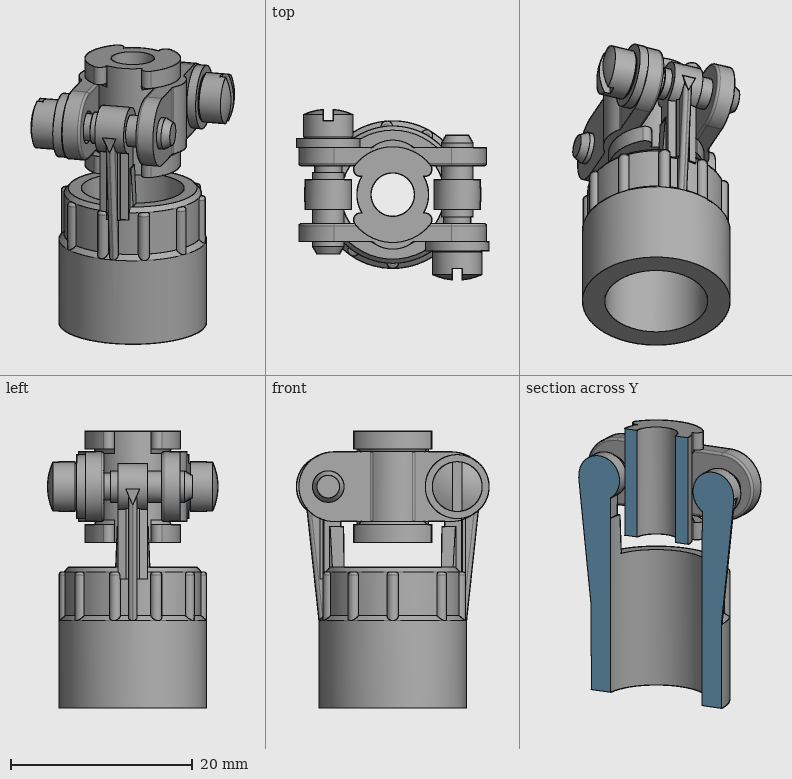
import cadquery as cq
import math

BORE_R = 5.67
SLEEVE_R = 8.15
RIM_R = 7.57
RIM_TOP_R = 7.1
SLEEVE_TOP = 9.65
SHOULDER_TOP = 10.2
RIM_BEVEL_BOTTOM = 15.0
RIM_TOP = 15.53

GRIP_R = 0.65
GRIP_COUNT = 10
GRIP_START = -90
GRIP_STEP = -35
GRIP_ROUND = 0.35

PIVOT_X = 7.1
PIVOT_Z = 24.4
SHANK_R = 1.75
RELIEF_R = 1.5
RELIEF_TOP = 2.45
TIP_R = 1.25
TIP_START = 5.7
TIP_END = 6.55
HEAD_R = 2.75
HEAD_NECK_R = 2.6
HEAD_BASE = 6.35
HEAD_EDGE = 8.82
HEAD_TOP = 9.43
DRIVE_SLOT_WIDTH = 1.07
DRIVE_SLOT_DEPTH = 1.28
WASHER_DIAMETER = 7.05
WASHER_THICKNESS = 1.0

STRAP_INNER_Y = 3.17
STRAP_OUTER_Y = 5.2
STRAP_END_X = 6.5
STRAP_END_R = 3.85
STRAP_ROUND = 0.27
CLEARANCE_HOLE_R = 1.8
BULGE_R = 3.65
BULGE_TOP_Y = 6.0
BULGE_BLEND_R = 0.45
SELECT_MARGIN = 0.03

SPOOL_TOP = 30.5
SPOOL_HEIGHT = 12.25
SPOOL_BORE_R = 2.38
CORE_R = 3.97
SLOT_HALF_WIDTH = 2.0
FLANGE_R = 5.28
FLANGE_THICKNESS = 1.98
FLANGE_CORNER_R = 0.75
TAPER_HEIGHT = 0.5
TAPER_R = 4.25

BARREL_R = 2.55
ARM_HALF_WIDTH = 1.65
ARM_INNER_X = 5.7
ARM_OUTER_R = 7.75
ARM_BOTTOM = 14.22
STRIP_HALF_WIDTH = 0.75
STRIP_OUTER_X = 8.0
TONGUE_OUTER_X = 7.0
TONGUE_SIDE_X = 6.65
TONGUE_TOP = 19.98
TONGUE_TOP_HALF_WIDTH = 1.7
TONGUE_BASE_HALF_WIDTH = 1.9
BRACE_HALF_WIDTH = 0.5
BRACE_ROUND = 0.45
BRACE_INNER_X = 7.25
BRACE_TOP_X = 9.7
BRACE_TOP = 24.13
BRACE_POINT = 22.35


def disc(radius, bottom, height):
    return cq.Workplane("XY").workplane(offset=bottom).circle(radius).extrude(height)


def box_between(x_range, y_range, z_range):
    size = [high - low for low, high in (x_range, y_range, z_range)]
    corner = (x_range[0], y_range[0], z_range[0])
    return cq.Workplane("XY").box(*size, centered=False).translate(corner)


def along_y(radius, start, end):
    """Cylinder on the pivot axis between two Y positions."""
    rod = cq.Workplane("XZ", origin=(PIVOT_X, start, PIVOT_Z)).circle(radius)
    return rod.extrude(start - end)


def opposite(body):
    """Copy of the body turned half a revolution about Z."""
    return body.rotate((0, 0, 0), (0, 0, 1), 180)


def make_collar():
    outline = [
        (0, 0),
        (SLEEVE_R, 0),
        (SLEEVE_R, SLEEVE_TOP),
        (RIM_R, SHOULDER_TOP),
        (RIM_R, RIM_BEVEL_BOTTOM),
        (RIM_TOP_R, RIM_TOP),
        (0, RIM_TOP),
    ]
    collar = cq.Workplane("XZ").polyline(outline).close().revolve(360, (0, 0), (0, 1))
    rib = disc(GRIP_R, SLEEVE_TOP, RIM_BEVEL_BOTTOM - SLEEVE_TOP)
    rib = rib.faces(">Z").edges().fillet(GRIP_ROUND)
    rib = rib.translate((SLEEVE_R - GRIP_R, 0, 0))
    for index in range(GRIP_COUNT):
        angle = GRIP_START + index * GRIP_STEP
        collar = collar.union(rib.rotate((0, 0, 0), (0, 0, 1), angle))
    return collar


def cut_lobes(body):
    """Slot the body across X, leaving a lobe on each Y side."""
    box = body.val().BoundingBox()
    slot = box_between(
        (box.xmin, box.xmax), (-SLOT_HALF_WIDTH, SLOT_HALF_WIDTH), (box.zmin, box.zmax)
    )
    return body.cut(slot)


def make_spool():
    """Bored core with a lobed flange at each end, tapered under the lobes."""
    bottom = SPOOL_TOP - SPOOL_HEIGHT
    low_face = bottom + FLANGE_THICKNESS
    high_face = SPOOL_TOP - FLANGE_THICKNESS
    taper_outline = [
        (0, low_face),
        (TAPER_R, low_face),
        (CORE_R, low_face + TAPER_HEIGHT),
        (CORE_R, high_face - TAPER_HEIGHT),
        (TAPER_R, high_face),
        (0, high_face),
    ]
    tapers = cq.Workplane("XZ").polyline(taper_outline).close().revolve(360, (0, 0), (0, 1))
    spool = disc(CORE_R, bottom, SPOOL_HEIGHT).union(cut_lobes(tapers))
    for flange_bottom in (bottom, high_face):
        flange = cut_lobes(disc(FLANGE_R, flange_bottom, FLANGE_THICKNESS))
        spool = spool.union(flange.edges("|Z").fillet(FLANGE_CORNER_R))
    return spool.cut(disc(SPOOL_BORE_R, bottom, SPOOL_HEIGHT))


def make_strap():
    """Strap on the -Y side, bulged over the spool, with a clearance hole under the screw head."""
    thickness = STRAP_OUTER_Y - STRAP_INNER_Y
    strap = (
        cq.Workplane("XZ", origin=(0, -STRAP_INNER_Y, PIVOT_Z))
        .slot2D(2 * (STRAP_END_X + STRAP_END_R), 2 * STRAP_END_R)
        .extrude(thickness)
        .faces(">Y")
        .edges()
        .fillet(STRAP_ROUND)
    )
    rise = BULGE_TOP_Y - STRAP_OUTER_Y
    half_chord = math.sqrt(2 * BULGE_R * rise - rise**2)
    bulge = (
        cq.Workplane("XY", origin=(0, 0, PIVOT_Z - STRAP_END_R))
        .moveTo(-half_chord, -STRAP_OUTER_Y)
        .threePointArc((0, -BULGE_TOP_Y), (half_chord, -STRAP_OUTER_Y))
        .lineTo(half_chord, -STRAP_OUTER_Y + thickness / 2)
        .lineTo(-half_chord, -STRAP_OUTER_Y + thickness / 2)
        .close()
        .extrude(2 * STRAP_END_R)
    )
    high_corner = (half_chord + SELECT_MARGIN, SELECT_MARGIN - STRAP_OUTER_Y, SPOOL_TOP)
    low_corner = (-half_chord - SELECT_MARGIN, -STRAP_OUTER_Y - SELECT_MARGIN, 0)
    foot = cq.selectors.BoxSelector(low_corner, high_corner)
    strap = strap.union(bulge).edges("|Z").edges(foot).fillet(BULGE_BLEND_R)
    return strap.cut(along_y(CLEARANCE_HOLE_R, -STRAP_INNER_Y, -STRAP_OUTER_Y))


def make_screw():
    """Slotted screw with its washer; the head is on the -Y side."""
    half_outline = (
        cq.Workplane("XY", origin=(PIVOT_X, 0, PIVOT_Z))
        .moveTo(0, TIP_END)
        .lineTo(TIP_R, TIP_END)
        .lineTo(SHANK_R, TIP_START)
        .lineTo(SHANK_R, -RELIEF_TOP)
        .lineTo(RELIEF_R, -RELIEF_TOP)
        .lineTo(RELIEF_R, -STRAP_OUTER_Y)
        .lineTo(HEAD_NECK_R, -STRAP_OUTER_Y)
        .lineTo(HEAD_NECK_R, -HEAD_BASE)
        .lineTo(HEAD_R, -HEAD_BASE)
        .lineTo(HEAD_R, -HEAD_EDGE)
    )
    dome_rise = HEAD_TOP - HEAD_EDGE
    dome_r = (HEAD_R**2 + dome_rise**2) / (2 * dome_rise)
    mid_x = HEAD_R / 2
    mid_y = HEAD_TOP - dome_r + math.sqrt(dome_r**2 - mid_x**2)
    screw = (
        half_outline.threePointArc((mid_x, -mid_y), (0, -HEAD_TOP))
        .close()
        .revolve(360, (0, 0), (0, 1))
    )
    drive_slot = box_between(
        (PIVOT_X - DRIVE_SLOT_WIDTH / 2, PIVOT_X + DRIVE_SLOT_WIDTH / 2),
        (-HEAD_TOP, -HEAD_TOP + DRIVE_SLOT_DEPTH),
        (PIVOT_Z - HEAD_R, PIVOT_Z + HEAD_R),
    )
    washer = along_y(WASHER_DIAMETER / 2, -STRAP_OUTER_Y, -STRAP_OUTER_Y - WASHER_THICKNESS)
    return screw.cut(drive_slot).union(washer)


def make_tongue():
    """Tapered tongue behind the arm; the collar bore later hollows its inner side."""
    plan = [
        (0, -TONGUE_BASE_HALF_WIDTH),
        (TONGUE_SIDE_X, -TONGUE_BASE_HALF_WIDTH),
        (TONGUE_OUTER_X, -ARM_HALF_WIDTH),
        (TONGUE_OUTER_X, ARM_HALF_WIDTH),
        (TONGUE_SIDE_X, TONGUE_BASE_HALF_WIDTH),
        (0, TONGUE_BASE_HALF_WIDTH),
    ]
    taper = [
        (-TONGUE_BASE_HALF_WIDTH, RIM_TOP),
        (TONGUE_BASE_HALF_WIDTH, RIM_TOP),
        (TONGUE_TOP_HALF_WIDTH, TONGUE_TOP),
        (-TONGUE_TOP_HALF_WIDTH, TONGUE_TOP),
    ]
    column = cq.Workplane("XY").workplane(offset=RIM_TOP).polyline(plan).close()
    column = column.extrude(TONGUE_TOP - RIM_TOP)
    wedge = cq.Workplane("YZ").polyline(taper).close().extrude(TONGUE_OUTER_X)
    return column.intersect(wedge)


def make_brace():
    """Sloping rib from the barrel to the shoulder, with a pointed flat at its top."""
    side = [
        (BRACE_INNER_X, SLEEVE_TOP),
        (SLEEVE_R, SLEEVE_TOP),
        (BRACE_TOP_X, BRACE_TOP),
        (BRACE_INNER_X, BRACE_TOP),
    ]

    def slab(half_width):
        return cq.Workplane("XZ").polyline(side).close().extrude(half_width, both=True)

    ridge = slab(BRACE_HALF_WIDTH)
    ridge = ridge.faces(">X").edges("not |Y").fillet(BRACE_ROUND)
    point = [
        (-STRIP_HALF_WIDTH, BRACE_TOP),
        (STRIP_HALF_WIDTH, BRACE_TOP),
        (0, BRACE_POINT),
    ]
    wedge = cq.Workplane("YZ").polyline(point).close().extrude(BRACE_TOP_X)
    return ridge.union(slab(STRIP_HALF_WIDTH).intersect(wedge))


def make_arm():
    """Arm on the +X side with its pivot barrel."""
    heights = (ARM_BOTTOM, PIVOT_Z)
    barrel = along_y(BARREL_R, ARM_HALF_WIDTH, -ARM_HALF_WIDTH)
    plate = box_between(
        (ARM_INNER_X, ARM_OUTER_R), (-ARM_HALF_WIDTH, ARM_HALF_WIDTH), heights
    )
    plate = plate.intersect(disc(ARM_OUTER_R, ARM_BOTTOM, PIVOT_Z - ARM_BOTTOM))
    strip = box_between(
        (ARM_INNER_X, STRIP_OUTER_X), (-STRIP_HALF_WIDTH, STRIP_HALF_WIDTH), heights
    )
    return barrel.union(plate).union(strip).union(make_tongue()).union(make_brace())


arm = make_arm()
result = make_collar().union(arm).union(opposite(arm))
result = result.cut(disc(BORE_R, 0, TONGUE_TOP))
result = result.union(make_spool())
for piece in (make_strap(), make_screw()):
    result = result.union(piece).union(opposite(piece))